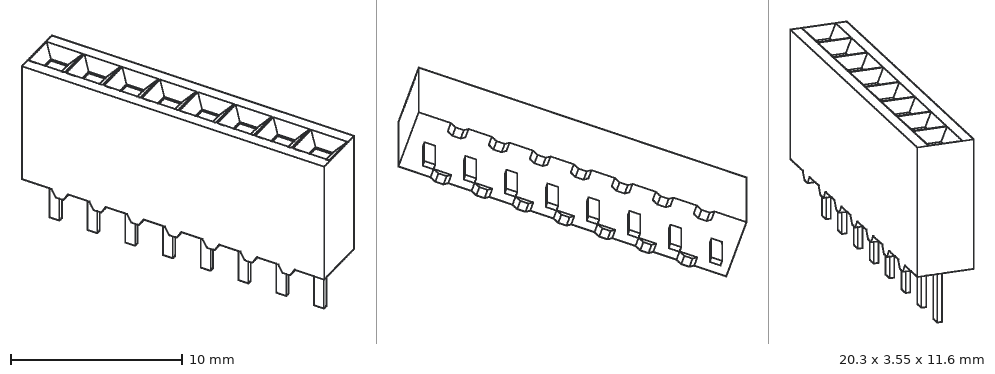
import cadquery as cq

contact_count = 8
housing_length = 20.32
housing_width = 3.55
housing_height = 8.13
pitch = housing_length / contact_count

pin_width = 0.67
pin_thickness = 0.3
pin_length = 3.43

foot_base = 1.1
foot_tip = 0.5
foot_height = 0.5
foot_thickness = 0.55

funnel_length = 2.44
funnel_width = 2.13
funnel_depth = 0.63
recess_length = 1.15
recess_width = 0.9
recess_depth = 0.12


def row_positions(count):
    """Points one pitch apart along X, centred on the housing."""
    return [((i - (count - 1) / 2) * pitch, 0) for i in range(count)]


def make_housing():
    return cq.Workplane("XY").box(
        housing_length, housing_width, housing_height, centered=(True, True, False)
    )


def make_funnel():
    """Tapered lead-in and recess, to be cut downwards from z = 0."""
    funnel = (
        cq.Workplane("XY")
        .rect(funnel_length, funnel_width)
        .workplane(offset=-funnel_depth)
        .rect(recess_length, recess_width)
        .loft(ruled=True)
    )
    recess = (
        cq.Workplane("XY", origin=(0, 0, -funnel_depth))
        .rect(recess_length, recess_width)
        .extrude(-recess_depth)
    )
    return funnel.union(recess)


def make_foot():
    """Trapezoidal foot centred on the origin, hanging below z = 0."""
    outline = [
        (-foot_base / 2, 0),
        (foot_base / 2, 0),
        (foot_tip / 2, -foot_height),
        (-foot_tip / 2, -foot_height),
    ]
    return cq.Workplane("XZ").polyline(outline).close().extrude(foot_thickness / 2, both=True)


def make_pins():
    return (
        cq.Workplane("XY")
        .pushPoints(row_positions(contact_count))
        .rect(pin_width, pin_thickness)
        .extrude(-pin_length)
    )


result = make_housing().union(make_pins())

funnel = make_funnel()
for x, y in row_positions(contact_count):
    result = result.cut(funnel.translate((x, y, housing_height)))

foot = make_foot()
foot_offset = (housing_width - foot_thickness) / 2
for x, _ in row_positions(contact_count - 1):
    for y in (-foot_offset, foot_offset):
        result = result.union(foot.translate((x, y, 0)))